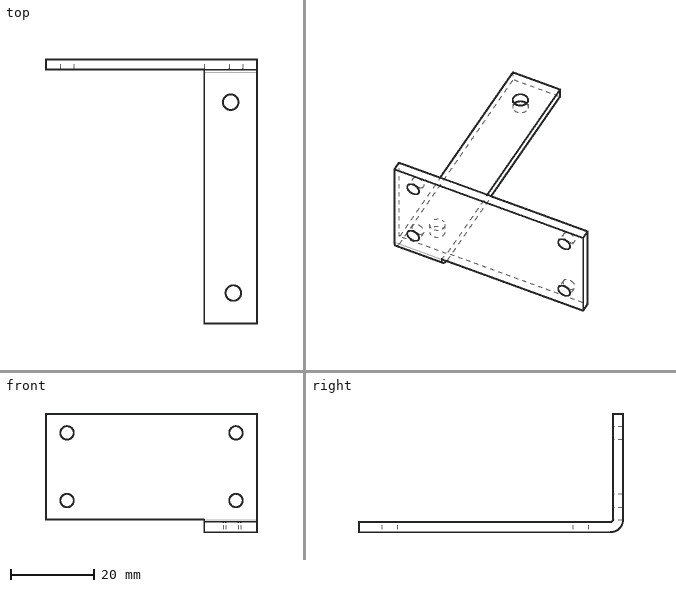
import cadquery as cq

plate_width = 50.8
plate_height = 25.45
thickness = 2.5
inner_bend_radius = 0.6
total_depth = 63.6
arm_width = 12.7

plate_hole_diameter = 3.2
plate_hole_spacing_x = 40.65
plate_hole_spacing_z = 16.3
plate_holes_center_z = 12.7

arm_hole_diameter = 3.7
arm_holes = [(6.35, 53.3), (5.7, 7.4)]

outer_bend_radius = thickness + inner_bend_radius
arm_left = plate_width - arm_width


def make_plate():
    """Upright plate with four mounting holes."""
    plate = cq.Workplane("XY").box(plate_width, thickness, plate_height, centered=False)
    plate = plate.translate((0, -thickness, 0))
    holes = (
        cq.Workplane("XZ", origin=(plate_width / 2, 0, plate_holes_center_z))
        .rarray(plate_hole_spacing_x, plate_hole_spacing_z, 2, 2)
        .circle(plate_hole_diameter / 2)
        .extrude(thickness)
    )
    return plate.cut(holes)


def make_bend():
    """Quarter-ring bend joining the plate's lower edge to the arm."""
    ring = (
        cq.Workplane("YZ", origin=(arm_left, -outer_bend_radius, 0))
        .circle(outer_bend_radius)
        .circle(inner_bend_radius)
        .extrude(arm_width)
    )
    quadrant = (
        cq.Workplane("XY")
        .box(arm_width, outer_bend_radius, outer_bend_radius, centered=False)
        .translate((arm_left, -outer_bend_radius, -outer_bend_radius))
    )
    return ring.intersect(quadrant)


def make_arm():
    """Horizontal arm with two holes, running from the bend to its free end."""
    arm_length = total_depth - outer_bend_radius
    arm = (
        cq.Workplane("XY")
        .box(arm_width, arm_length, thickness, centered=False)
        .translate((arm_left, -total_depth, -outer_bend_radius))
    )
    holes = (
        cq.Workplane("XY", origin=(plate_width, -total_depth, -outer_bend_radius))
        .pushPoints([(-from_edge, from_end) for from_edge, from_end in arm_holes])
        .circle(arm_hole_diameter / 2)
        .extrude(thickness)
    )
    return arm.cut(holes)


result = make_plate().union(make_bend()).union(make_arm())